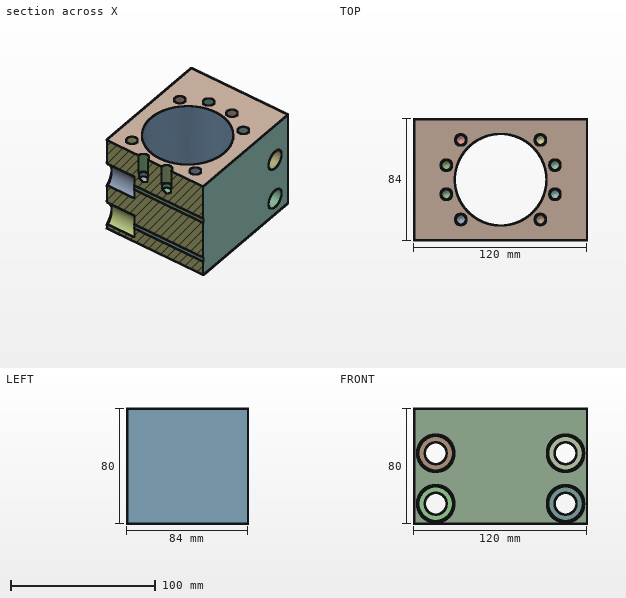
import cadquery as cq
import math

length = 120.0
width = 84.0
height = 80.0

bore_diameter = 63.4

tapped_circle_diameter = 78.0
thread_diameter = 8.0
thread_depth = 16.0
core_diameter = 7.0
core_depth = 20.0
drill_point_angle = 118.0
tapped_angles = [15.0, 45.0, 135.0, 165.0, 195.0, 225.0, 315.0, 345.0]

mount_spacing_x = 90.0
mount_spacing_z = 35.0
mount_lower_z = 14.0
mount_diameter = 15.0
counterbore_diameter = 24.0
counterbore_depth = 24.0
counterbore_chamfer = 1.0


def make_block():
    return cq.Workplane("XY").box(length, width, height, centered=(True, True, False))


def make_bore():
    return cq.Workplane("XY").circle(bore_diameter / 2).extrude(height)


def make_tapped_hole(angle):
    """Thread-diameter hole over a narrower core drilling that ends in a conical point."""
    thread_radius = thread_diameter / 2
    core_radius = core_diameter / 2
    point_length = core_radius / math.tan(math.radians(drill_point_angle / 2))
    thread_end_z = height - thread_depth
    core_end_z = height - core_depth
    hole = (
        cq.Workplane("XZ")
        .moveTo(0, height)
        .lineTo(thread_radius, height)
        .lineTo(thread_radius, thread_end_z)
        .lineTo(core_radius, thread_end_z)
        .lineTo(core_radius, core_end_z)
        .lineTo(0, core_end_z - point_length)
        .close()
        .revolve(360, (0, 0, 0), (0, 1, 0))
    )
    circle_radius = tapped_circle_diameter / 2
    x = circle_radius * math.cos(math.radians(angle))
    y = circle_radius * math.sin(math.radians(angle))
    return hole.translate((x, y, 0))


def make_mounting_hole(x, z):
    """Through hole with a counterbore and a chamfered mouth on the -Y face."""
    through_radius = mount_diameter / 2
    counterbore_radius = counterbore_diameter / 2
    mouth_radius = counterbore_radius + counterbore_chamfer
    front_y = -width / 2
    floor_y = front_y + counterbore_depth
    hole = (
        cq.Workplane("XY")
        .moveTo(0, front_y)
        .lineTo(mouth_radius, front_y)
        .lineTo(counterbore_radius, front_y + counterbore_chamfer)
        .lineTo(counterbore_radius, floor_y)
        .lineTo(through_radius, floor_y)
        .lineTo(through_radius, width / 2)
        .lineTo(0, width / 2)
        .close()
        .revolve(360, (0, 0, 0), (0, 1, 0))
    )
    return hole.translate((x, 0, z))


result = make_block().cut(make_bore())

for tapped_angle in tapped_angles:
    result = result.cut(make_tapped_hole(tapped_angle))

for mount_x in (-mount_spacing_x / 2, mount_spacing_x / 2):
    for mount_z in (mount_lower_z, mount_lower_z + mount_spacing_z):
        result = result.cut(make_mounting_hole(mount_x, mount_z))